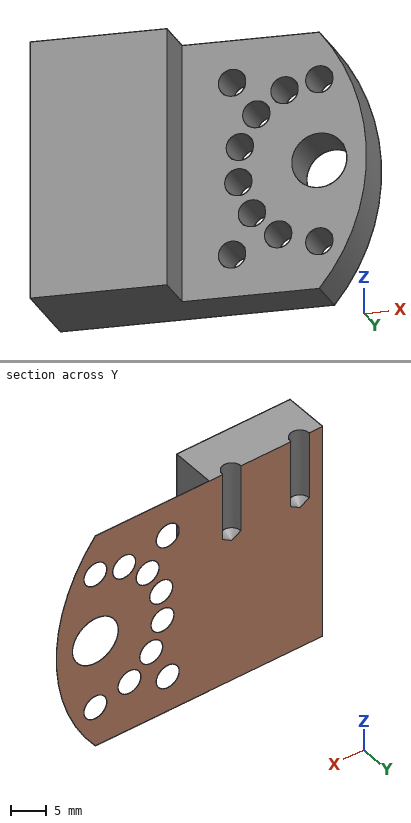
import cadquery as cq
import math

length = 46.9
depth = 15.0
height = 38.0

block_length = 20.0
plate_thickness = depth / 2
arc_start_x = 40.0

pivot_x = arc_start_x
pivot_z = height / 2
pivot_diameter = 8.0
index_diameter = 4.0
index_radius = 12.0
index_step = 25
index_angles = [90 + index_step * i for i in range(7)] + [270]
outer_radius = 18.0
outer_angles = [135, 225]

drill_diameter = 3.2
drill_depth = 11.75
drill_tip_angle = 118
drill_spacing = 12.0
drill_y = depth / 2


def make_body():
    """Plate with a bowed right end, joined to the thick block."""
    outline = (
        cq.Workplane("XZ", origin=(0, depth, 0))
        .lineTo(arc_start_x, 0)
        .threePointArc((length, height / 2), (arc_start_x, height))
        .lineTo(0, height)
        .close()
    )
    plate = outline.extrude(plate_thickness)
    block = cq.Workplane("XY").box(block_length, depth, height, centered=False)
    return plate.union(block)


def cross_hole(x, z, diameter):
    """Cutter running through the full depth along Y."""
    return cq.Workplane("XZ", origin=(x, depth, z)).circle(diameter / 2).extrude(depth)


def holes_on_circle(body, radius, angles):
    """Cut index holes on a circle about the pivot, angles measured from +X."""
    for angle in angles:
        x = pivot_x + radius * math.cos(math.radians(angle))
        z = pivot_z + radius * math.sin(math.radians(angle))
        body = body.cut(cross_hole(x, z, index_diameter))
    return body


def drilled_hole(x):
    """Vertical blind-hole cutter with a conical tip."""
    radius = drill_diameter / 2
    tip_length = radius / math.tan(math.radians(drill_tip_angle / 2))
    floor_z = height - drill_depth
    profile = (
        cq.Workplane("XZ", origin=(x, drill_y, 0))
        .moveTo(0, height)
        .lineTo(radius, height)
        .lineTo(radius, floor_z)
        .lineTo(0, floor_z - tip_length)
        .close()
    )
    return profile.revolve(360, (0, 0, 0), (0, 1, 0))


result = make_body()
result = result.cut(cross_hole(pivot_x, pivot_z, pivot_diameter))
result = holes_on_circle(result, index_radius, index_angles)
result = holes_on_circle(result, outer_radius, outer_angles)
for side in (-1, 1):
    result = result.cut(drilled_hole(block_length / 2 + side * drill_spacing / 2))